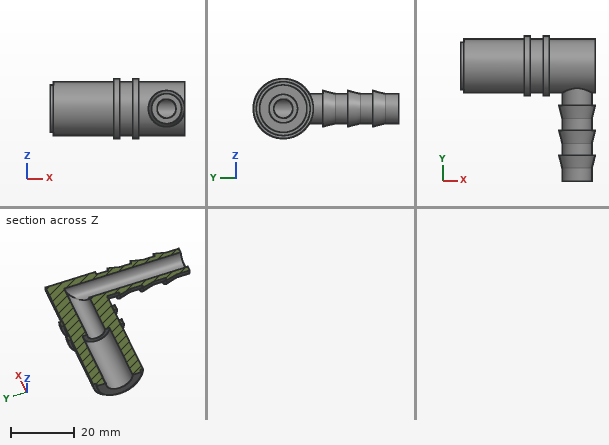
import cadquery as cq

total_length = 42.5
nose_length = 1.0
nose_diameter = 15.0
barrel_diameter = 17.0

ring_diameter = 19.0
ring_width = 2.0
ring_starts = (20.0, 26.05)

overall_depth = 46.0
stem_reach = overall_depth - ring_diameter / 2
stem_diameter = 9.48
barb_diameter = 11.5
barb_length = 4.0
barb_pitch = 7.85
barb_count = 3
stem_tip_length = 4.3
stem_x = total_length - barb_diameter / 2

bore_diameter = 6.0
socket_diameter = 9.0
socket_depth = 20.0


def cylinder_along_x(diameter, start, length):
    return cq.Workplane("YZ", origin=(start, 0, 0)).circle(diameter / 2).extrude(length)


def barb(tip_y):
    """Cone that widens from the stem surface at tip_y to a sharp shoulder nearer the barrel."""
    return (
        cq.Workplane("XY", origin=(stem_x, tip_y, 0))
        .lineTo(stem_diameter / 2, 0)
        .lineTo(barb_diameter / 2, barb_length)
        .lineTo(0, barb_length)
        .close()
        .revolve(360, (0, 0, 0), (0, 1, 0))
    )


def hose_stem():
    stem = cq.Workplane("XZ", origin=(stem_x, 0, 0)).circle(stem_diameter / 2).extrude(stem_reach)
    for index in range(barb_count):
        stem = stem.union(barb(-stem_reach + stem_tip_length + index * barb_pitch))
    return stem


def elbow_passage():
    """Socket and mitred elbow bore, from the open end of the barrel to the tip of the stem."""
    path = cq.Workplane("XY").lineTo(stem_x, 0).lineTo(stem_x, -stem_reach)
    bore = cq.Workplane("YZ").circle(bore_diameter / 2).sweep(path, transition="right")
    return bore.union(cylinder_along_x(socket_diameter, 0, socket_depth))


def elbow_housing():
    nose = cylinder_along_x(nose_diameter, 0, nose_length)
    barrel = cylinder_along_x(barrel_diameter, nose_length, total_length - nose_length)
    return nose.union(barrel).union(hose_stem()).cut(elbow_passage())


def barrel_ring(start):
    ring = cylinder_along_x(ring_diameter, start, ring_width)
    return ring.cut(cylinder_along_x(barrel_diameter, start, ring_width))


housing = elbow_housing()
rings = [barrel_ring(start) for start in ring_starts]

result = cq.Compound.makeCompound([housing.val(), *[ring.val() for ring in rings]])